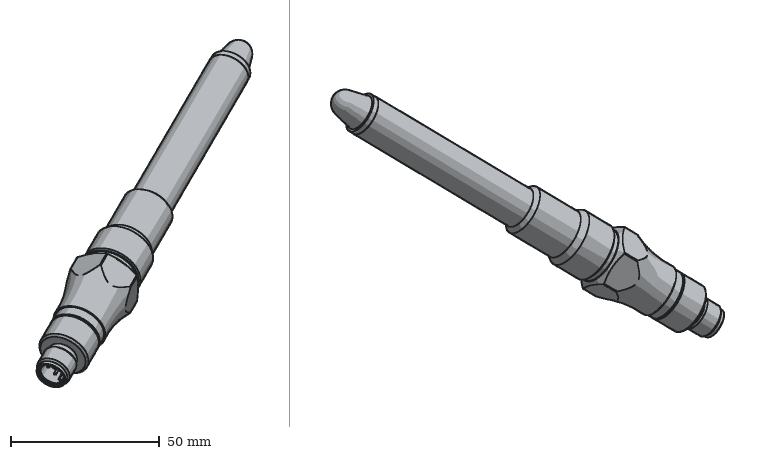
import cadquery as cq
import math

total_length = 166.5

lip_diameter = 10.7
lip_length = 1.3
thread_diameter = 12.0
thread_start = 2.0
thread_end = 7.8
neck_start = 8.3
neck_diameter = 10.3

housing_diameter = 18.0
housing_start = 10.3
housing_face_diameter = 16.5
groove_center = 20.6
groove_width = 0.5
groove_depth = 0.3

sleeve_diameter = 19.0
sleeve_start = 24.5
flare_middle_radius = 10.0
flare_middle = 34.1
flare_end = 42.6
hex_across_flats = 22.0
hex_corner_diameter = 25.1
hex_end = 50.0
hex_face_diameter = 19.6
hex_chamfer_angle = 30.0

relief_diameter = sleeve_diameter
collar_diameter = 21.0
collar_start = 52.0
collar_front_chamfer = 0.5
collar_end = 63.4
body_diameter = housing_diameter
body_start = 65.9
body_end = 83.7
tube_diameter = 14.6
tube_start = 85.2

cap_diameter = 14.5
cap_start = 153.1
cap_end = 155.1
tip_base_diameter = 12.6
tip_step = 158.1
tip_step_diameter = 11.3
dome_start = 162.8
dome_diameter = 9.3

mouth_diameter = 9.7
mouth_depth = 0.3
rim_diameter = 9.3
rim_depth = 0.8
socket_diameter = 8.3
socket_depth = 6.7
pin_count = 4
pin_diameter = 0.8
pin_circle_radius = 2.5
pin_start = 3.3
pin_root = 1.7
key_angle = 45.0
key_width = 0.8
key_inner_radius = 3.2
key_start = 1.7


def turned(outline):
    """Revolve a closed outline, drawn as (radius, Y), about the Y axis."""
    return outline.close().revolve(360, (0, 0, 0), (0, 1, 0))


def rod(diameter, start, end):
    """Cylinder along Y."""
    return cq.Workplane("XZ", origin=(0, start, 0)).circle(diameter / 2).extrude(start - end)


def front_section():
    return turned(
        cq.Workplane("XY")
        .moveTo(0, 0)
        .lineTo(lip_diameter / 2, 0)
        .lineTo(lip_diameter / 2, lip_length)
        .lineTo(thread_diameter / 2, thread_start)
        .lineTo(thread_diameter / 2, thread_end)
        .lineTo(neck_diameter / 2, neck_start)
        .lineTo(neck_diameter / 2, housing_start)
        .lineTo(housing_face_diameter / 2, housing_start)
        .lineTo(housing_diameter / 2, housing_start + (housing_diameter - housing_face_diameter) / 2)
        .lineTo(housing_diameter / 2, groove_center - groove_width / 2)
        .lineTo(housing_diameter / 2 - groove_depth, groove_center - groove_width / 2)
        .lineTo(housing_diameter / 2 - groove_depth, groove_center + groove_width / 2)
        .lineTo(housing_diameter / 2, groove_center + groove_width / 2)
        .lineTo(housing_diameter / 2, sleeve_start)
        .lineTo(0, sleeve_start)
    )


def hex_section():
    """Flared turned blank, cut to a hexagon whose flats face +X and -X."""
    corner_radius = hex_corner_diameter / 2
    chamfer_height = corner_radius - hex_face_diameter / 2
    chamfer_length = chamfer_height * math.tan(math.radians(hex_chamfer_angle))
    blank = turned(
        cq.Workplane("XY")
        .moveTo(0, sleeve_start)
        .lineTo(sleeve_diameter / 2, sleeve_start)
        .threePointArc((flare_middle_radius, flare_middle), (corner_radius, flare_end))
        .lineTo(corner_radius, hex_end - chamfer_length)
        .lineTo(hex_face_diameter / 2, hex_end)
        .lineTo(0, hex_end)
    )
    hex_bar = (
        cq.Workplane("XZ", origin=(0, sleeve_start, 0))
        .transformed(rotate=(0, 0, 90))
        .polygon(6, hex_across_flats / math.cos(math.pi / 6))
        .extrude(sleeve_start - hex_end)
    )
    return blank.intersect(hex_bar)


def rear_section():
    dome_radius = dome_diameter / 2
    dome_height = total_length - dome_start
    sphere_radius = (dome_radius**2 + dome_height**2) / (2 * dome_height)
    half_angle = math.asin(dome_radius / sphere_radius) / 2
    dome_middle = (
        sphere_radius * math.sin(half_angle),
        total_length - sphere_radius * (1 - math.cos(half_angle)),
    )
    return turned(
        cq.Workplane("XY")
        .moveTo(0, hex_end)
        .lineTo(relief_diameter / 2, hex_end)
        .lineTo(relief_diameter / 2, collar_start)
        .lineTo(collar_diameter / 2 - collar_front_chamfer, collar_start)
        .lineTo(collar_diameter / 2, collar_start + collar_front_chamfer)
        .lineTo(collar_diameter / 2, collar_end)
        .lineTo(body_diameter / 2, body_start)
        .lineTo(body_diameter / 2, body_end)
        .lineTo(tube_diameter / 2, tube_start)
        .lineTo(tube_diameter / 2, cap_start)
        .lineTo(cap_diameter / 2, cap_start)
        .lineTo(cap_diameter / 2, cap_end)
        .lineTo(tip_base_diameter / 2, cap_end)
        .lineTo(tip_step_diameter / 2, tip_step)
        .lineTo(dome_radius, dome_start)
        .threePointArc(dome_middle, (0, total_length))
    )


def socket():
    """Stepped bore with a key rib along its wall in the +X, -Z quadrant."""
    bore = rod(mouth_diameter, 0, mouth_depth)
    bore = bore.union(rod(rim_diameter, 0, rim_depth))
    bore = bore.union(rod(socket_diameter, 0, socket_depth))
    key_height = rim_diameter / 2 - key_inner_radius
    key_length = socket_depth - key_start
    key = (
        cq.Workplane("XY")
        .box(key_height, key_length, key_width, centered=(False, False, True))
        .translate((key_inner_radius, key_start, 0))
        .rotate((0, 0, 0), (0, 1, 0), key_angle)
    )
    return bore.cut(key)


def pins():
    """Contact pins standing on the socket floor and rooted in it."""
    pin_end = socket_depth + pin_root
    return (
        cq.Workplane("XZ", origin=(0, pin_end, 0))
        .polarArray(pin_circle_radius, 0, 360, pin_count)
        .circle(pin_diameter / 2)
        .extrude(pin_end - pin_start)
    )


body = front_section().union(hex_section()).union(rear_section())
result = body.cut(socket()).union(pins())